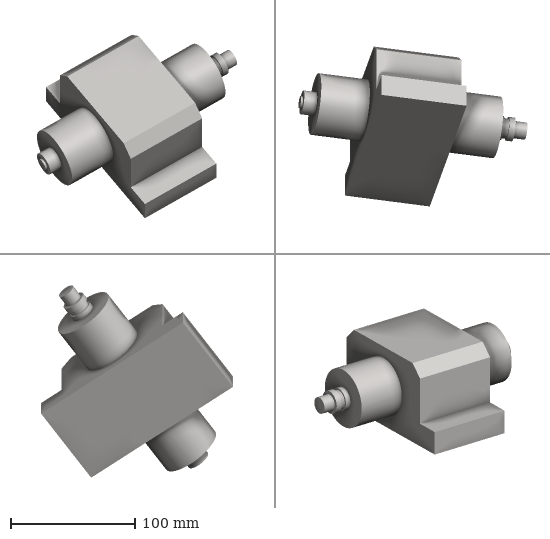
import cadquery as cq

base_width = 140.0
body_width = 100.0
block_size = 70.0
base_height = 20.0
top_chamfer = 10.0

barrel_diameter = 50.0
barrel_overhang = 40.0
axis_height = block_size / 2
barrel_end = block_size / 2 + barrel_overhang

front_steps = [
    (19.4, 10.6),
    (9.9, 1.7),
]
rear_steps = [
    (19.4, 4.5),
    (16.4, 4.1),
    (19.4, 5.0),
    (14.0, 10.2),
]


def make_block():
    """T-shaped block with chamfered top edges, centred on Y = 0."""
    base = cq.Workplane("XY").box(base_width, block_size, base_height, centered=(True, True, False))
    body = (
        cq.Workplane("XY")
        .box(body_width, block_size, block_size, centered=(True, True, False))
        .edges("|Y and >Z")
        .chamfer(top_chamfer)
    )
    return base.union(body)


def make_cylinder(diameter, start, length, direction):
    """Cylinder on the shaft axis; direction is +1 or -1 along Y."""
    return cq.Workplane(
        cq.Solid.makeCylinder(
            diameter / 2,
            length,
            cq.Vector(0, direction * start, axis_height),
            cq.Vector(0, direction, 0),
        )
    )


def add_steps(part, steps, direction):
    """Stack the steps end to end, starting from the barrel face."""
    start = barrel_end
    for diameter, length in steps:
        part = part.union(make_cylinder(diameter, start, length, direction))
        start += length
    return part


result = make_block()
result = result.union(make_cylinder(barrel_diameter, -barrel_end, 2 * barrel_end, 1))
result = add_steps(result, front_steps, -1)
result = add_steps(result, rear_steps, 1)